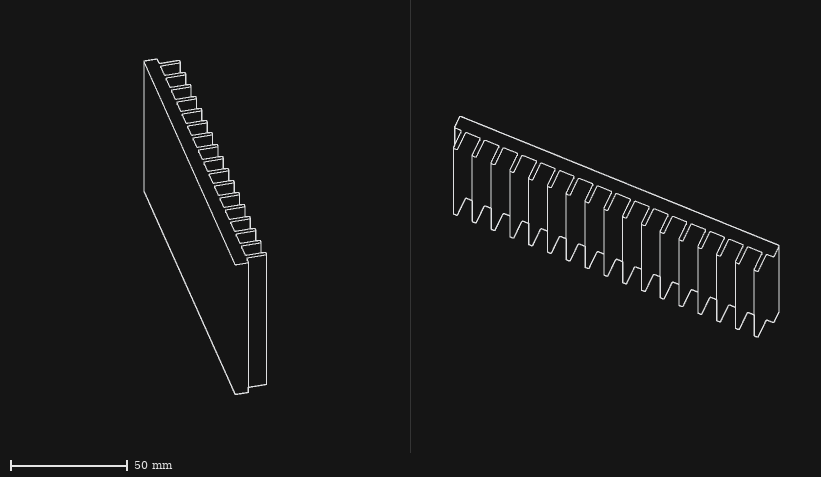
import cadquery as cq

LENGTH = 150.1
DEPTH = 15.0
HEIGHT = 70.0

BASE_THICKNESS = 6.0
FIN_COUNT = 17
FIN_THICKNESS = 2.0
FIN_PITCH = LENGTH / FIN_COUNT

EDGE_RADIUS = 0.5


def make_base():
    """Plate with its four upright corner edges rounded; its front face is at Y = 0."""
    plate = cq.Workplane("XY").box(LENGTH, BASE_THICKNESS, HEIGHT, centered=(True, False, True))
    return plate.edges("|Z").fillet(EDGE_RADIUS)


def make_fin(x_center):
    """Full-height fin with a rounded tip and concave root fillets, embedded in the plate."""
    embedded_y = BASE_THICKNESS / 2
    root_y = BASE_THICKNESS + EDGE_RADIUS
    shoulder_y = DEPTH - EDGE_RADIUS
    side_x = FIN_THICKNESS / 2
    foot_x = side_x + EDGE_RADIUS
    tip_x = side_x - EDGE_RADIUS
    profile = (
        cq.Workplane("XY", origin=(x_center, 0, -HEIGHT / 2))
        .moveTo(-foot_x, embedded_y)
        .lineTo(foot_x, embedded_y)
        .lineTo(foot_x, BASE_THICKNESS)
        .radiusArc((side_x, root_y), EDGE_RADIUS)
        .lineTo(side_x, shoulder_y)
        .radiusArc((tip_x, DEPTH), -EDGE_RADIUS)
        .lineTo(-tip_x, DEPTH)
        .radiusArc((-side_x, shoulder_y), -EDGE_RADIUS)
        .lineTo(-side_x, root_y)
        .radiusArc((-foot_x, BASE_THICKNESS), EDGE_RADIUS)
        .close()
    )
    return profile.extrude(HEIGHT)


result = make_base()
for index in range(FIN_COUNT):
    fin_x = -LENGTH / 2 + (index + 0.5) * FIN_PITCH
    result = result.union(make_fin(fin_x))